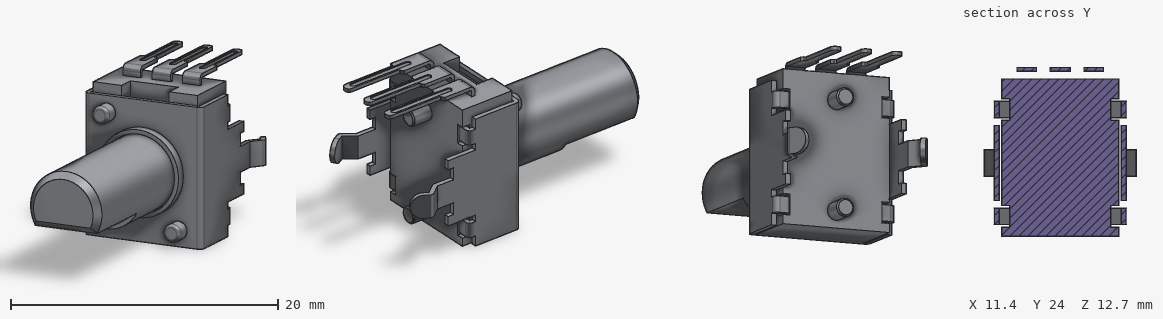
import cadquery as cq
import math


shaft_diameter = 6.0
overall_length = 23.99
shaft_tip_y = -13.1
shaft_chamfer = 0.5
flat_length = 7.0
flat_z = -1.5
collar_diameter = 6.8
collar_bore_diameter = 6.12
collar_length = 0.8

sheet = 0.4
bracket_width = 9.9
bracket_height = 11.0
bracket_bend_radius = 0.4
wall_back_y = 4.3
wing_half_height = 2.82
wing_back_y = 6.9
notch_half_height = 2.02
notch_floor_y = 6.37

tab_width = 2.0
tab_bend_y = 7.92
tab_reach = 5.7
tab_out_angle = 39
tab_return_angle = 30
tab_tip_y = 10.45
tab_bend_radius = 0.38

ear_width = 1.24
ear_z = 4.0
ear_back_y = 4.94

body_width = 8.76
body_back_y = 5.1
body_top_z = 6.3
ear_pocket_height = 1.6
ear_pocket_front_y = 4.42
ear_pocket_depth = 0.6
recess_width = 4.0
recess_back_y = 1.9
recess_depth = 1.25

peg_z = 4.21
front_peg_x = 3.0
front_peg_diameter = 1.4
front_peg_length = 1.2
front_peg_round = 0.25
back_peg_diameter = 1.4
back_peg_length = 1.75
back_peg_chamfer = 0.12

terminal_pitch = 2.5
terminal_thickness = 0.3
terminal_front_y = 3.03
terminal_top_z = 7.15
terminal_bend_radius = 0.45
terminal_tip_y = shaft_tip_y + overall_length
terminal_base_width = 1.48
middle_base_width = 1.55
terminal_base_back_y = 6.03
terminal_base_chamfer = 0.2
terminal_blade_width = 0.8
terminal_tip_radius = 0.35
groove_width = 0.5
groove_front_y = 4.68
groove_back_y = 10.35
groove_depth = 0.1

wall_outer_x = bracket_width / 2
wall_inner_x = wall_outer_x - sheet
bracket_half_height = bracket_height / 2
body_side_x = body_width / 2
pocket_floor_x = body_side_x - ear_pocket_depth


def block(x_range, y_range, z_range):
    """Axis-aligned block between pairs of limits."""
    (x0, x1), (y0, y1), (z0, z1) = x_range, y_range, z_range
    return cq.Workplane("XY").box(x1 - x0, y1 - y0, z1 - z0, centered=False).translate((x0, y0, z0))


def rod(diameter, start_y, end_y, x=0, z=0):
    """Round bar parallel to Y."""
    low_y = min(start_y, end_y)
    length = abs(end_y - start_y)
    return cq.Workplane("XZ", origin=(x, low_y, z)).circle(diameter / 2).extrude(-length)


def mirrored_pair(right_side):
    """The given right-hand feature and its mirror image across X = 0."""
    return right_side.union(right_side.mirror("YZ"))


def make_body():
    body = block((-body_side_x, body_side_x), (sheet, body_back_y), (-bracket_half_height, body_top_z))
    recess = block(
        (-recess_width / 2, recess_width / 2),
        (sheet, recess_back_y),
        (body_top_z - recess_depth, body_top_z),
    )
    body = body.cut(recess)
    for z in (-ear_z, ear_z):
        pocket = block(
            (pocket_floor_x, body_side_x),
            (ear_pocket_front_y, body_back_y),
            (z - ear_pocket_height / 2, z + ear_pocket_height / 2),
        )
        body = body.cut(mirrored_pair(pocket))
    return body


def make_front_plate():
    plate = block(
        (-wall_outer_x, wall_outer_x),
        (0, wall_back_y),
        (-bracket_half_height, bracket_half_height),
    )
    plate = plate.edges("|Z and <Y").fillet(bracket_bend_radius)
    opening = block(
        (-wall_inner_x, wall_inner_x),
        (sheet, wall_back_y),
        (-bracket_half_height, bracket_half_height),
    )
    return plate.cut(opening)


def make_wing():
    """Rear part of the right wall: a wide step with a notch on each side of the tab."""
    wall_x = (wall_inner_x, wall_outer_x)
    wing = block(wall_x, (wall_back_y, wing_back_y), (-wing_half_height, wing_half_height))
    notch = block(wall_x, (notch_floor_y, wing_back_y), (-notch_half_height, notch_half_height))
    return wing.cut(notch)


def make_tab():
    """Right tab: bends outward, then back inward to a fully rounded tip."""
    out = math.radians(tab_out_angle)
    back = math.radians(tab_return_angle)
    half_width = tab_width / 2

    knee_to_round_centre = tab_bend_radius / math.cos((out + back) / 2)
    knee_tilt = (out - back) / 2
    knee_x = tab_reach - tab_bend_radius + knee_to_round_centre * math.cos(knee_tilt)
    knee_y = tab_bend_y + (knee_x - wall_outer_x) / math.tan(out)

    bend_shift = sheet * math.tan(out / 2)
    inner_bend_y = tab_bend_y + bend_shift
    knee_inset = sheet / math.cos((out + back) / 2)
    inner_knee_x = knee_x - knee_inset * math.cos(knee_tilt)
    inner_knee_y = knee_y + knee_inset * math.sin(knee_tilt)

    tip_length = (tab_tip_y - knee_y) / math.cos(back)
    tip_dx = -tip_length * math.sin(back)
    tip_dy = tip_length * math.cos(back)
    tip_x = knee_x + tip_dx
    tip_y = knee_y + tip_dy

    strip = (
        cq.Workplane("XY", origin=(0, 0, -half_width))
        .moveTo(wall_inner_x, notch_floor_y)
        .lineTo(wall_outer_x, notch_floor_y)
        .lineTo(wall_outer_x, tab_bend_y)
        .lineTo(knee_x, knee_y)
        .lineTo(tip_x, tip_y)
        .lineTo(tip_x - sheet * math.cos(back), tip_y - sheet * math.sin(back))
        .lineTo(inner_knee_x, inner_knee_y)
        .lineTo(wall_inner_x, inner_bend_y)
        .close()
        .extrude(tab_width)
    )
    strip = strip.edges("|Z and >X").fillet(tab_bend_radius)

    tip_plane = cq.Plane(
        origin=(tip_x, tip_y, 0),
        xDir=(-math.sin(back), math.cos(back), 0),
        normal=(-math.cos(back), -math.sin(back), 0),
    )
    corners = (
        cq.Workplane(tip_plane)
        .center(-half_width / 2, 0)
        .rect(half_width, tab_width)
        .extrude(sheet)
    )
    disc = cq.Workplane(tip_plane).center(-half_width, 0).circle(half_width).extrude(sheet)
    return strip.cut(corners.cut(disc))


def make_ear(z):
    """Right ear: leaves the wall edge and turns inward to the floor of its pocket."""
    ear = block(
        (pocket_floor_x, wall_outer_x),
        (wall_back_y, ear_back_y),
        (z - ear_width / 2, z + ear_width / 2),
    )
    ear = ear.edges("|Z and >X and >Y").fillet(sheet)
    inside = block(
        (pocket_floor_x, wall_inner_x),
        (wall_back_y, ear_back_y - sheet),
        (z - ear_width / 2, z + ear_width / 2),
    )
    return ear.cut(inside)


def make_bracket():
    right_side = make_wing().union(make_tab())
    for z in (-ear_z, ear_z):
        right_side = right_side.union(make_ear(z))
    return make_front_plate().union(mirrored_pair(right_side))


def make_shaft():
    shaft = rod(shaft_diameter, shaft_tip_y, 0)
    below_flat = block(
        (-shaft_diameter, shaft_diameter),
        (shaft_tip_y, shaft_tip_y + flat_length),
        (-shaft_diameter, flat_z),
    )
    return shaft.cut(below_flat).faces("<Y").chamfer(shaft_chamfer)


def make_collar():
    """Ring around the shaft with a narrow running gap."""
    return rod(collar_diameter, -collar_length, 0).cut(rod(collar_bore_diameter, -collar_length, 0))


def make_pegs():
    pegs = cq.Workplane("XY")
    for side in (-1, 1):
        front_peg = rod(front_peg_diameter, -front_peg_length, 0, side * front_peg_x, -side * peg_z)
        pegs = pegs.add(front_peg.faces("<Y").edges().fillet(front_peg_round))
        back_peg = rod(back_peg_diameter, body_back_y, body_back_y + back_peg_length, 0, side * peg_z)
        pegs = pegs.add(back_peg.faces(">Y").chamfer(back_peg_chamfer))
    return pegs.combine()


def make_terminal(x, base_width):
    """Right-angle terminal: rises from the body, bends back and narrows to a grooved blade."""
    underside_z = terminal_top_z - terminal_thickness
    bent_strip = (
        cq.Workplane("YZ", origin=(-base_width / 2, 0, 0))
        .moveTo(terminal_front_y, body_top_z)
        .lineTo(terminal_front_y, terminal_top_z - terminal_bend_radius)
        .radiusArc((terminal_front_y + terminal_bend_radius, terminal_top_z), terminal_bend_radius)
        .lineTo(terminal_base_back_y, terminal_top_z)
        .lineTo(terminal_base_back_y, underside_z)
        .lineTo(terminal_front_y + terminal_bend_radius, underside_z)
        .radiusArc(
            (terminal_front_y + terminal_thickness, terminal_top_z - terminal_bend_radius),
            terminal_thickness - terminal_bend_radius,
        )
        .lineTo(terminal_front_y + terminal_thickness, body_top_z)
        .close()
        .extrude(base_width)
    )
    bent_strip = bent_strip.edges("|Z and >Y").chamfer(terminal_base_chamfer)
    blade = block(
        (-terminal_blade_width / 2, terminal_blade_width / 2),
        (groove_front_y, terminal_tip_y),
        (underside_z, terminal_top_z),
    )
    blade = blade.edges("|Z and >Y").fillet(terminal_tip_radius)
    groove = (
        cq.Workplane("XY", origin=(0, (groove_front_y + groove_back_y) / 2, terminal_top_z))
        .slot2D(groove_back_y - groove_front_y, groove_width, 90)
        .extrude(-groove_depth)
    )
    return bent_strip.union(blade).cut(groove).translate((x, 0, 0))


result = make_body().union(make_bracket()).union(make_shaft()).union(make_collar()).union(make_pegs())
for position in (-1, 0, 1):
    width = middle_base_width if position == 0 else terminal_base_width
    result = result.union(make_terminal(position * terminal_pitch, width))